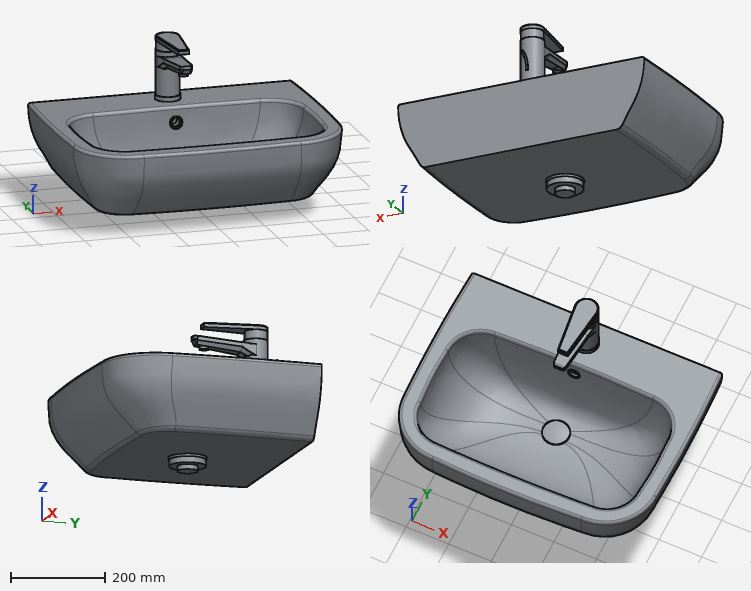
import cadquery as cq
import math

RIM_Z = 156.0

BASIN_LEVELS = [
    (0.0, 244.0, 377.5, -311.5),
    (48.0, 270.0, 425.0, -323.5),
    (96.0, 291.5, 454.0, -335.5),
    (126.0, 297.5, 459.0, -335.5),
    (RIM_Z, 299.5, 459.5, -335.5),
]
FOOT_RADIUS = 17.0
RIM_RADIUS = 6.5
SIDE_MID_Y = -167.5
BACK_TUCK = 5.5
CORNER_TUCK = 3.0
FRONT_BOW = 6.0
CORNER_X = 175.0

DRAIN_Y = -205.0
BOWL_FLOOR_Z = 11.0
DRAIN_SEAT_D = 62.0
LIP_RADIUS = 7.0
BOWL_SIDE_X = 260.0
BOWL_BACK_Y = -114.5
BOWL_FRONT_Y = -417.0
BOWL_BOW = 4.0
BOWL_CORNER_X = 185.5
BOWL_BACK_CORNER_Y = -196.5
BOWL_FRONT_CORNER_Y = -337.0
BOWL_RISES = [0.0, 0.04, 0.15, 0.35, 0.65, 1.0]
SIDE_STEEPNESS = 0.65
BACK_STEEPNESS = 0.6
FRONT_STEEPNESS = 1.2
SEAT_SIDE_ANGLE = 19.0
SEAT_END_ANGLE = 31.0

BOSS_D = 79.0
BOSS_TOP_D = 82.5
BOSS_TAPER_Z = -5.5
BOSS_BOTTOM_Z = -18.5
TAIL_D = 44.0
TAIL_BOTTOM_Z = -29.5
PLUG_D = 60.0
PLUG_RIM = 2.5
PLUG_TOP_Z = 16.0

OVERFLOW_Z = 119.0
RING_D = 28.0
RING_BORE_D = 20.0
RING_FRONT_Y = -115.5
RING_BACK_Y = -109.0
OVERFLOW_END_Y = -90.0

FAUCET_Y = -53.5
BASE_D = 55.0
BASE_TOP_Z = 166.0
COLUMN_D = 52.0
COLUMN_TOP_Z = 265.5
SPOUT_TIP_Y = -193.5
SPOUT_LEVELS = [
    (-60.0, 25.0, 253.0, 227.5, 15.5, 219.0),
    (-91.0, 21.5, 256.0, 246.0, 14.5, 235.5),
    (-187.0, 14.0, 265.0, 255.0, 9.5, 246.0),
    (SPOUT_TIP_Y, 11.0, 265.5, 260.0, 8.5, 257.5),
]
SPOUT_TIP_RADIUS = 5.0
AERATOR_Y = -168.0
AERATOR_D = 20.0
AERATOR_BOTTOM_Z = 238.5
AERATOR_TOP_Z = 247.0

LEVER_BOTTOM_Z = 285.0
LEVER_TOP_Z = 295.0
LEVER_TIP_Y = -172.0
LEVER_TIP_HALF = 12.0
LEVER_CHAMFER = 2.5
LEVER_NECK_D = 50.0

ROD_D = 5.0
ROD_PATH = [(-27.0, 190.5), (-20.5, 215.5), (-4.0, 225.0)]


def chain_of_arcs(points, z):
    """Arcs through an odd run of points at one height: end, middle, end, middle, ... end."""
    at = [cq.Vector(x, y, z) for x, y in points]
    return [cq.Edge.makeThreePointArc(*at[i:i + 3]) for i in range(0, len(at) - 1, 2)]


def corner_middle(start, end):
    """Middle of a quarter turn that runs along Y at its start and along X at its end."""
    diagonal = math.sqrt(0.5)
    return (
        end[0] + diagonal * (start[0] - end[0]),
        start[1] + diagonal * (end[1] - start[1]),
    )


def mirror_x(points):
    """The points on the other side of X = 0, in reverse order."""
    return [(-x, y) for x, y in reversed(points)]


def cylinder(diameter, bottom, top, y):
    """Upright round bar on the plane of symmetry."""
    return cq.Workplane("XY", origin=(0, y, bottom)).circle(diameter / 2).extrude(top - bottom)


def bar_along_y(diameter, front_y, back_y):
    """Round bar along Y at the height of the overflow."""
    plane = cq.Workplane("XZ", origin=(0, back_y, OVERFLOW_Z))
    return plane.circle(diameter / 2).extrude(back_y - front_y)


def basin_section(z, half, depth, corner_y):
    """Outline of the shell: bowed sides and front, round front corners, straight back."""
    back = (half - BACK_TUCK, 0.0)
    corner_start = (half - CORNER_TUCK, corner_y)
    corner_end = (CORNER_X, FRONT_BOW - depth)
    corner_mid = corner_middle(corner_start, corner_end)
    right = [back, (half, SIDE_MID_Y), corner_start, corner_mid, corner_end]
    edges = chain_of_arcs(right + [(0.0, -depth)] + mirror_x(right), z)
    edges.append(cq.Edge.makeLine(cq.Vector(-back[0], 0, z), cq.Vector(back[0], 0, z)))
    return cq.Wire.assembleEdges(edges)


def make_shell():
    shell = cq.Workplane(cq.Solid.makeLoft([basin_section(*level) for level in BASIN_LEVELS]))
    shell = shell.faces(">Z").edges("not >Y").fillet(RIM_RADIUS)
    return shell.faces("<Z").edges("not >Y").fillet(FOOT_RADIUS)


def bowl_mouth():
    """Points of the bowl mouth on the +X side, from the middle of the back to the front."""
    bow = BOWL_BOW
    side = BOWL_SIDE_X
    back_end = (BOWL_CORNER_X, BOWL_BACK_Y - bow)
    back_start = (side - bow / 2, BOWL_BACK_CORNER_Y)
    front_start = (side - bow, BOWL_FRONT_CORNER_Y)
    front_end = (BOWL_CORNER_X, BOWL_FRONT_Y + bow)
    side_mid = (side, (BOWL_BACK_CORNER_Y + BOWL_FRONT_CORNER_Y) / 2)
    return [
        (0.0, BOWL_BACK_Y),
        back_end,
        corner_middle(back_start, back_end),
        back_start,
        side_mid,
        front_start,
        corner_middle(front_start, front_end),
        front_end,
        (0.0, BOWL_FRONT_Y),
    ]


def drain_seat():
    """Points of the drain seat circle that match the points of the bowl mouth."""
    mid = (SEAT_SIDE_ANGLE + SEAT_END_ANGLE) / 2
    upper = [90.0, SEAT_END_ANGLE, mid, SEAT_SIDE_ANGLE]
    angles = upper + [0.0] + [-a for a in reversed(upper)]
    radius = DRAIN_SEAT_D / 2
    return [
        (radius * math.cos(math.radians(a)), DRAIN_Y + radius * math.sin(math.radians(a)))
        for a in angles
    ]


def bowl_section(rise):
    """Section of the bowl at a rise from 0 at the drain seat to 1 at the mouth."""
    spread = math.sqrt(1 - (1 - rise) ** 2)
    points = []
    for (seat_x, seat_y), (mouth_x, mouth_y) in zip(drain_seat(), bowl_mouth()):
        steepness = BACK_STEEPNESS if mouth_y > DRAIN_Y else FRONT_STEEPNESS
        x = seat_x + (mouth_x - seat_x) * spread ** SIDE_STEEPNESS
        y = seat_y + (mouth_y - seat_y) * spread ** steepness
        points.append((x, y))
    back_mid, *right, front_mid = points
    loop = right + [front_mid] + mirror_x(right) + [back_mid, right[0]]
    return cq.Wire.assembleEdges(chain_of_arcs(loop, BOWL_FLOOR_Z + rise * (RIM_Z - BOWL_FLOOR_Z)))


def make_basin():
    bowl = cq.Workplane(cq.Solid.makeLoft([bowl_section(rise) for rise in BOWL_RISES]))
    basin = make_shell().cut(bowl)
    mouth = basin.faces(">Z").val().innerWires()[0]
    basin = basin.newObject(mouth.Edges()).fillet(LIP_RADIUS)
    taper_base = cq.Vector(0, DRAIN_Y, BOSS_TAPER_Z)
    taper = cq.Solid.makeCone(BOSS_D / 2, BOSS_TOP_D / 2, -BOSS_TAPER_Z, taper_base)
    basin = basin.union(cq.Workplane(taper))
    basin = basin.union(cylinder(BOSS_D, BOSS_BOTTOM_Z, BOSS_TAPER_Z, DRAIN_Y))
    basin = basin.cut(cylinder(TAIL_D, BOSS_BOTTOM_Z, BOWL_FLOOR_Z, DRAIN_Y))
    basin = basin.cut(bar_along_y(RING_D, RING_FRONT_Y - LIP_RADIUS, RING_BACK_Y))
    return basin.cut(bar_along_y(RING_BORE_D, RING_FRONT_Y, OVERFLOW_END_Y))


def make_drain():
    return cylinder(TAIL_D, TAIL_BOTTOM_Z, BOWL_FLOOR_Z, DRAIN_Y)


def make_plug():
    radius = PLUG_D / 2
    profile = (
        cq.Workplane("XZ", origin=(0, DRAIN_Y, 0))
        .moveTo(0, BOWL_FLOOR_Z)
        .lineTo(radius, BOWL_FLOOR_Z)
        .lineTo(radius, BOWL_FLOOR_Z + PLUG_RIM)
    )
    rise = PLUG_TOP_Z - BOWL_FLOOR_Z - PLUG_RIM
    dome_radius = (radius ** 2 + rise ** 2) / (2 * rise)
    half_angle = math.asin(radius / dome_radius) / 2
    dome_mid = (dome_radius * math.sin(half_angle), PLUG_TOP_Z - dome_radius * (1 - math.cos(half_angle)))
    return profile.threePointArc(dome_mid, (0, PLUG_TOP_Z)).close().revolve(360, (0, 0, 0), (0, 1, 0))


def make_overflow_ring():
    ring = bar_along_y(RING_D, RING_FRONT_Y, RING_BACK_Y)
    return ring.cut(bar_along_y(RING_BORE_D, RING_FRONT_Y, RING_BACK_Y))


def spout_section(y, half, top, edge, bottom_half, bottom):
    right = [(half, top), (half, edge), (bottom_half, bottom)]
    outline = right + [(-x, z) for x, z in reversed(right)]
    return cq.Wire.makePolygon([cq.Vector(x, y, z) for x, z in outline], close=True)


def make_spout():
    spout = cq.Workplane(cq.Solid.makeLoft([spout_section(*s) for s in SPOUT_LEVELS], True))
    return spout.faces("<Y").edges("|Z").fillet(SPOUT_TIP_RADIUS)


def make_aerator():
    return cylinder(AERATOR_D, AERATOR_BOTTOM_Z, AERATOR_TOP_Z, AERATOR_Y).cut(make_spout())


def make_rod():
    start, middle, end = ROD_PATH
    path = cq.Workplane("YZ").moveTo(*start).threePointArc(middle, end)
    return cq.Workplane("XY", origin=(0, *start)).circle(ROD_D / 2).sweep(path)


def make_faucet():
    faucet = cylinder(BASE_D, RIM_Z, BASE_TOP_Z, FAUCET_Y)
    faucet = faucet.union(cylinder(COLUMN_D, BASE_TOP_Z, COLUMN_TOP_Z, FAUCET_Y))
    return faucet.union(make_spout()).cut(make_rod())


def make_lever():
    radius = COLUMN_D / 2
    reach = FAUCET_Y - LEVER_TIP_Y
    distance = math.hypot(LEVER_TIP_HALF, reach)
    angle = math.acos(radius / distance) - math.atan2(reach, LEVER_TIP_HALF)
    touch_x = radius * math.cos(angle)
    touch_y = FAUCET_Y + radius * math.sin(angle)
    plate = (
        cq.Workplane("XY", origin=(0, 0, LEVER_BOTTOM_Z))
        .moveTo(LEVER_TIP_HALF, LEVER_TIP_Y)
        .lineTo(touch_x, touch_y)
        .threePointArc((0, FAUCET_Y + radius), (-touch_x, touch_y))
        .lineTo(-LEVER_TIP_HALF, LEVER_TIP_Y)
        .close()
        .extrude(LEVER_TOP_Z - LEVER_BOTTOM_Z)
        .faces(">Z")
        .chamfer(LEVER_CHAMFER)
    )
    neck_y = FAUCET_Y + (COLUMN_D - LEVER_NECK_D) / 2
    neck = cylinder(LEVER_NECK_D, COLUMN_TOP_Z, LEVER_BOTTOM_Z, neck_y)
    return plate.union(neck)


basin = make_basin()
drain = make_drain()
plug = make_plug()
overflow_ring = make_overflow_ring()
faucet = make_faucet()
aerator = make_aerator()
lever = make_lever()
rod = make_rod()

result = cq.Compound.makeCompound([
    basin.val(), drain.val(), plug.val(), overflow_ring.val(),
    faucet.val(), aerator.val(), lever.val(), rod.val(),
])